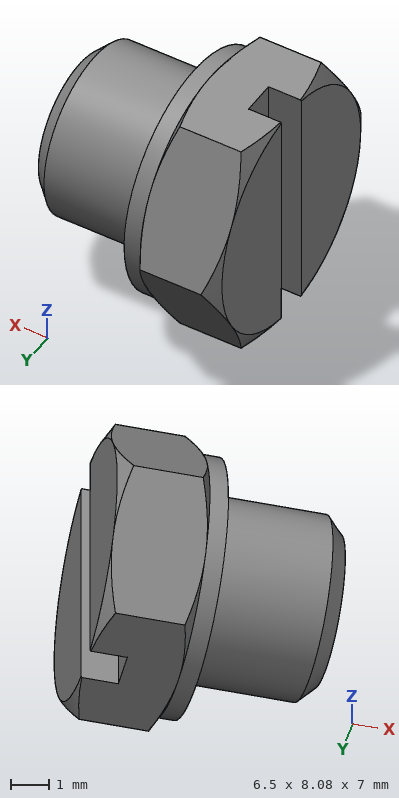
import cadquery as cq
import math

corner_width = 8.08
head_length = 2.5
collar_length = 0.5
shank_length = 3.5
shank_diameter = 5.0
tip_chamfer = 0.445
slot_width = 1.0
slot_depth = 1.0
head_chamfer_angle = 30.0

corner_radius = corner_width / 2
flat_radius = corner_radius * math.cos(math.pi / 6)
corner_drop = (corner_radius - flat_radius) * math.tan(math.radians(head_chamfer_angle))
shank_start = head_length + collar_length


def make_head():
    """Hexagon with corners on the Y axis, chamfered conically at both ends."""
    hexagon = cq.Workplane("YZ").polygon(6, corner_width).extrude(head_length)
    chamfer_envelope = (
        cq.Workplane("XY")
        .polyline([
            (0, 0),
            (0, flat_radius),
            (corner_drop, corner_radius),
            (head_length - corner_drop, corner_radius),
            (head_length, flat_radius),
            (head_length, 0),
        ])
        .close()
        .revolve(360, (0, 0, 0), (1, 0, 0))
    )
    return hexagon.intersect(chamfer_envelope)


def make_collar():
    """Round collar as wide as the hexagon across its flats."""
    return cq.Workplane("YZ").workplane(offset=head_length).circle(flat_radius).extrude(collar_length)


def make_shank():
    """Plain cylindrical shank with a chamfered tip."""
    shank = cq.Workplane("YZ").workplane(offset=shank_start).circle(shank_diameter / 2).extrude(shank_length)
    return shank.faces(">X").chamfer(tip_chamfer)


def make_slot():
    """Screwdriver slot running along Z across the whole head."""
    return cq.Workplane("XY").box(slot_depth, slot_width, corner_width, centered=(False, True, True))


result = make_head().union(make_collar()).union(make_shank()).cut(make_slot())